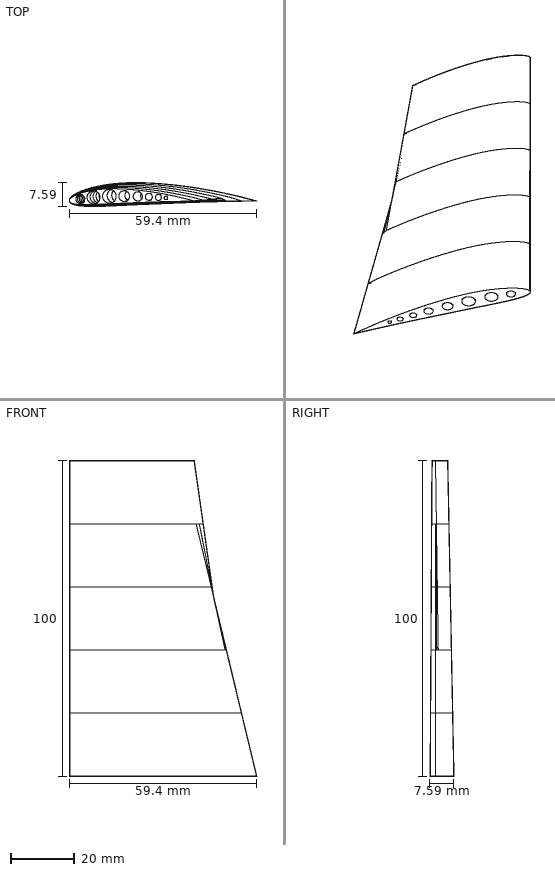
import cadquery as cq
import math

span = 100.0
panel_count = 5
panel_height = span / panel_count
root_chord = 59.4
tip_chord = 39.6

camber = 0.04
camber_position = 0.4
thickness = 0.12
facets_per_side = 30

formula_thickness = 0.2
root_coefficient = 0.2969
power_coefficients = [-0.1260, -0.3516, 0.2843, -0.1036]

tip_trailing_corner = 24

channel_sizes = [
    (3.5, 2.8),
    (7.7, 4.1),
    (12.7, 4.3),
    (17.4, 3.4),
    (21.7, 2.9),
    (25.2, 2.2),
    (28.2, 1.9),
    (30.6, 1.1),
]
channel_root_offset = 0.9


def cosine_station(index):
    """Chord fraction of a facet corner, closely spaced at both edges."""
    return (1 - math.cos(math.pi * index / facets_per_side)) / 2


def camber_height(x):
    """Height of the camber line at chord fraction x."""
    if x < camber_position:
        return camber / camber_position**2 * (2 * camber_position * x - x**2)
    rear = 1 - camber_position
    return camber / rear**2 * (1 - 2 * camber_position + 2 * camber_position * x - x**2)


def camber_angle(x):
    """Slope angle of the camber line at chord fraction x."""
    reach = camber_position if x < camber_position else 1 - camber_position
    return math.atan(2 * camber / reach**2 * (camber_position - x))


def half_thickness(x):
    """Half thickness of the four-digit section with a closed trailing edge."""
    powers = sum(c * x**power for power, c in enumerate(power_coefficients, start=1))
    return thickness / formula_thickness * (root_coefficient * math.sqrt(x) + powers)


def surface_point(x, side, chord):
    """Point on the upper (side = 1) or lower (side = -1) surface."""
    offset = side * half_thickness(x)
    angle = camber_angle(x)
    return (
        chord * (x - offset * math.sin(angle)),
        chord * (camber_height(x) + offset * math.cos(angle)),
    )


def root_outline():
    """Root corners from the trailing edge over the top, round the nose and back below."""
    upper = [surface_point(cosine_station(i), 1, root_chord) for i in range(facets_per_side, 0, -1)]
    lower = [surface_point(cosine_station(i), -1, root_chord) for i in range(facets_per_side)]
    return upper + lower


def tip_outline():
    """Tip corners in root order; the last upper ones wrap round the trailing edge."""
    stretch = 1 / cosine_station(tip_trailing_corner)
    points = []
    for i in range(facets_per_side, 0, -1):
        x = stretch * cosine_station(i)
        if i > tip_trailing_corner:
            points.append(surface_point(2 - x, -1, tip_chord))
        else:
            points.append(surface_point(min(x, 1), 1, tip_chord))
    for i in range(facets_per_side):
        points.append(surface_point((2 - stretch) * cosine_station(i), -1, tip_chord))
    return points


def section_wire(z):
    """Closed outline at height z, on the straight lines from root to tip corners."""
    t = z / span
    points = [
        cq.Vector(xr + t * (xt - xr), yr + t * (yt - yr), z)
        for (xr, yr), (xt, yt) in zip(root_outline(), tip_outline())
    ]
    return cq.Wire.makePolygon(points, close=True)


def channel(tip_x, diameter):
    """Slanting round channel along the camber line, through the whole wing."""
    root_x = tip_x * root_chord / tip_chord + channel_root_offset
    root_y = root_chord * camber_height(root_x / root_chord)
    tip_y = tip_chord * camber_height(tip_x / tip_chord)
    up = cq.Vector(0, 0, 1)
    ends = [
        cq.Wire.makeCircle(diameter / 2, cq.Vector(root_x, root_y, 0), up),
        cq.Wire.makeCircle(diameter / 2, cq.Vector(tip_x, tip_y, span), up),
    ]
    return cq.Solid.makeLoft(ends, True)


def wing_panel(bottom_z, cutters):
    """One panel: a ruled solid between two sections, pierced by the channels."""
    sections = [section_wire(bottom_z), section_wire(bottom_z + panel_height)]
    blank = cq.Solid.makeLoft(sections, True)
    return blank.cut(*cutters).Solids()[0]


channels = [channel(tip_x, diameter) for tip_x, diameter in channel_sizes]
panels = [wing_panel(i * panel_height, channels) for i in range(panel_count)]

result = cq.Compound.makeCompound([*panels])